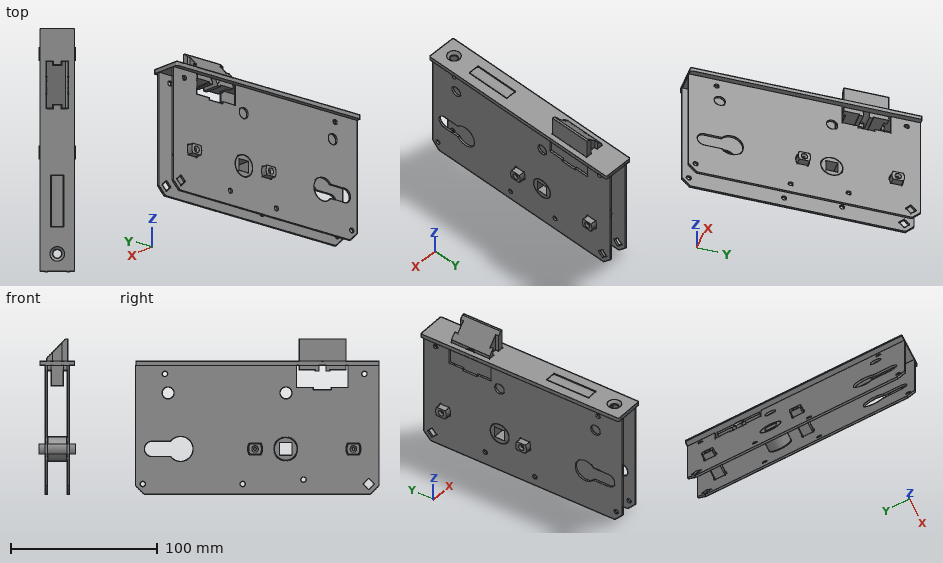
import cadquery as cq
import math

case_length = 166.0
total_height = 106.0
case_half_width = 8.3
plate_thickness = 1.5
inner_half_width = case_half_width - plate_thickness

face_width = 23.7
face_thickness = 3.0
face_bottom = 88.0
face_top = face_bottom + face_thickness
face_setback = 0.3
face_corner_radius = 1.0
screw_y = -70.7
screw_diameter = 6.0
screw_head_diameter = 10.0

corner_chamfer = 6.0
axis_z = 31.0
rivet_holes = [(73.0, 82.2), (-62.9, 82.2), (31.5, 10.1), (-10.0, 7.1), (-78.0, 7.1)]
rivet_diameter = 3.5
guide_holes = [(19.6, 69.2), (-60.8, 69.2)]
guide_diameter = 8.0
diamond_y = 76.0
diamond_z = 7.1
diamond_side = 5.5
cylinder_y = -52.3
cylinder_diameter = 17.0
cylinder_tail_y = -71.7
cylinder_tail_width = 10.3

latch_y = 44.5
latch_length = 32.0
latch_half_width = 7.3
latch_bottom = 85.0
latch_nose_z = 92.8
latch_tip_width = 1.7
latch_notch_width = 6.5
latch_notch_depth = 2.5
latch_foot_length = 10.0
latch_foot_bottom = 84.0
pivot_z = 88.3
pivot_diameter = 4.5
pivot_sink_diameter = 7.5
latch_side_gap = 0.5
bolt_end_gap = 0.2

opening_length = 35.0
opening_bottom = 73.0
opening_step_length = 12.0
opening_step_bottom = 71.5
opening_y = 44.3

dead_y = -34.7
dead_length = 34.9
dead_width = 8.5
dead_bottom = 74.0
dead_ridge_width = 1.5
dead_edge_drop = 0.7
dead_bulge = 0.2
dead_side_gap = 0.2

hub_y = 19.5
hub_diameter = 17.0
hub_half_width = 6.3
hub_journal_diameter = 15.5
hub_bore_diameter = 16.0
hub_square = 8.5

post_places = [65.5, -1.5]
post_overhang = 0.63
post_half_length = face_width / 2 + post_overhang
post_width = 9.0
post_end_radius = 7.5
post_height = 7.0
post_clearance = 0.5
post_hole_diameter = 1.7
post_hole_mouth = 4.5


def box(x0, x1, y0, y1, z0, z1):
    """Axis-aligned block between the given limits."""
    return cq.Workplane("XY").box(x1 - x0, y1 - y0, z1 - z0, centered=False).translate((x0, y0, z0))


def rod(y, z, diameter, x0, x1):
    """Round bar along X."""
    return cq.Workplane("YZ", origin=(x0, y, z)).circle(diameter / 2).extrude(x1 - x0)


def post_bar(y, gap, half_length):
    """Bar along X with flat faces above and below and bulging ends, grown outward by a gap."""
    half_width = post_width / 2 + gap
    half_height = post_height / 2 + gap
    end_radius = post_end_radius + gap
    bulge = end_radius - math.sqrt(end_radius**2 - half_height**2)
    corner = half_width - bulge
    return (
        cq.Workplane("YZ", origin=(-half_length, y, axis_z))
        .moveTo(-corner, -half_height)
        .lineTo(corner, -half_height)
        .threePointArc((half_width, 0), (corner, half_height))
        .lineTo(-corner, half_height)
        .threePointArc((-half_width, 0), (-corner, -half_height))
        .close()
        .extrude(2 * half_length)
    )


def cone(mouth_diameter, inner_diameter, start, direction):
    """90 degree countersink that narrows from its mouth along the given direction."""
    depth = (mouth_diameter - inner_diameter) / 2
    return cq.Workplane(
        cq.Solid.makeCone(mouth_diameter / 2, inner_diameter / 2, depth, cq.Vector(*start), cq.Vector(*direction))
    )


def latch_plan(side_gap, end_gap):
    """Notched plan of the latch bolt over the full height, grown along X and along Y by the gaps."""
    half_length = latch_length / 2 + end_gap
    half_width = latch_half_width + side_gap
    plan = box(-half_width, half_width, latch_y - half_length, latch_y + half_length, 0, total_height)
    notch_half_width = latch_notch_width / 2 - side_gap
    for side in (-1, 1):
        notch = cq.Workplane("XY").box(
            2 * notch_half_width, 2 * latch_notch_depth, total_height, centered=(True, True, False)
        )
        plan = plan.cut(notch.translate((0, latch_y + side * half_length, 0)))
    return plan


def make_faceplate():
    half = case_length / 2
    plate = box(-face_width / 2, face_width / 2, face_setback - half, half, face_bottom, face_top)
    plate = plate.edges("|Z").fillet(face_corner_radius)
    plate = plate.cut(latch_plan(latch_side_gap, bolt_end_gap))
    slot_half = dead_width / 2 + dead_side_gap
    dead_half = dead_length / 2 + bolt_end_gap
    plate = plate.cut(
        box(-slot_half, slot_half, dead_y - dead_half, dead_y + dead_half, face_bottom, face_top)
    )
    screw_hole = cq.Workplane("XY", origin=(0, screw_y, face_bottom)).circle(screw_diameter / 2)
    plate = plate.cut(screw_hole.extrude(face_thickness))
    return plate.cut(cone(screw_head_diameter, screw_diameter, (0, screw_y, face_top), (0, 0, -1)))


def make_side_plates():
    """Both side plates, cut together so that every opening passes through the pair."""
    half = case_length / 2
    reach = case_half_width
    plates = (
        box(-reach, reach, -half, half, 0, face_bottom)
        .edges("|X and <Z")
        .chamfer(corner_chamfer)
        .cut(box(-inner_half_width, inner_half_width, -half, half, 0, face_bottom))
    )

    for y, z in rivet_holes:
        plates = plates.cut(rod(y, z, rivet_diameter, -reach, reach))
    for y, z in guide_holes:
        plates = plates.cut(rod(y, z, guide_diameter, -reach, reach))

    diamond = cq.Workplane("YZ", origin=(-reach, diamond_y, diamond_z)).transformed(rotate=(0, 0, 45))
    plates = plates.cut(diamond.rect(diamond_side, diamond_side).extrude(2 * reach))

    for length, bottom in ((opening_length, opening_bottom), (opening_step_length, opening_step_bottom)):
        plates = plates.cut(
            box(-reach, reach, opening_y - length / 2, opening_y + length / 2, bottom, face_bottom)
        )

    tail_half = cylinder_tail_width / 2
    plates = plates.cut(rod(cylinder_y, axis_z, cylinder_diameter, -reach, reach))
    plates = plates.cut(rod(cylinder_tail_y, axis_z, cylinder_tail_width, -reach, reach))
    plates = plates.cut(
        box(-reach, reach, cylinder_tail_y, cylinder_y, axis_z - tail_half, axis_z + tail_half)
    )

    plates = plates.cut(rod(hub_y, axis_z, hub_bore_diameter, -reach, reach))
    for y in post_places:
        plates = plates.cut(post_bar(y, post_clearance, reach))
    return plates.solids()


def make_latch_bolt():
    half_length = latch_length / 2
    slope_end_x = latch_half_width - latch_tip_width
    profile = (
        cq.Workplane("XZ", origin=(0, latch_y + half_length, 0))
        .polyline([
            (-latch_half_width, latch_bottom),
            (latch_half_width, latch_bottom),
            (latch_half_width, total_height),
            (slope_end_x, total_height),
            (-latch_half_width, latch_nose_z),
        ])
        .close()
        .extrude(latch_length)
    )
    bolt = profile.intersect(latch_plan(0, 0))
    foot_half = latch_foot_length / 2
    bolt = bolt.union(
        box(
            -latch_half_width, latch_half_width, latch_y - foot_half, latch_y + foot_half,
            latch_foot_bottom, latch_bottom,
        )
    )
    pivot_half = pivot_diameter / 2
    bolt = bolt.cut(rod(latch_y, pivot_z, pivot_diameter, -latch_half_width, latch_half_width))
    bolt = bolt.cut(
        box(
            -latch_half_width, latch_half_width, latch_y - pivot_half, latch_y + pivot_half,
            latch_foot_bottom, pivot_z,
        )
    )
    sink_start = (-latch_half_width, latch_y, pivot_z)
    return bolt.cut(cone(pivot_sink_diameter, pivot_diameter, sink_start, (1, 0, 0)))


def make_dead_bolt():
    """Block whose top falls away in a shallow curve on both sides of a flat ridge."""
    half = dead_width / 2
    ridge = dead_ridge_width / 2
    shoulder_x = (half + ridge) / 2
    edge_z = face_top - dead_edge_drop
    shoulder_z = (face_top + edge_z) / 2 + dead_bulge
    return (
        cq.Workplane("XZ", origin=(0, dead_y + dead_length / 2, 0))
        .moveTo(-half, dead_bottom)
        .lineTo(half, dead_bottom)
        .lineTo(half, edge_z)
        .threePointArc((shoulder_x, shoulder_z), (ridge, face_top))
        .lineTo(-ridge, face_top)
        .threePointArc((-shoulder_x, shoulder_z), (-half, edge_z))
        .close()
        .extrude(dead_length)
    )


def make_hub():
    reach = case_half_width
    square_half = hub_square / 2
    return (
        rod(hub_y, axis_z, hub_diameter, -hub_half_width, hub_half_width)
        .union(rod(hub_y, axis_z, hub_journal_diameter, -reach, reach))
        .cut(
            box(
                -reach, reach, hub_y - square_half, hub_y + square_half,
                axis_z - square_half, axis_z + square_half,
            )
        )
    )


def make_post(y):
    post = post_bar(y, 0, post_half_length)
    post = post.cut(rod(y, axis_z, post_hole_diameter, -post_half_length, post_half_length))
    for side in (-1, 1):
        mouth = (side * post_half_length, y, axis_z)
        post = post.cut(cone(post_hole_mouth, post_hole_diameter, mouth, (-side, 0, 0)))
    return post


faceplate = make_faceplate()
side_plates = make_side_plates()
latch_bolt = make_latch_bolt()
dead_bolt = make_dead_bolt()
hub = make_hub()
posts = [make_post(y).val() for y in post_places]

result = cq.Compound.makeCompound([
    faceplate.val(),
    *side_plates.vals(),
    latch_bolt.val(),
    dead_bolt.val(),
    hub.val(),
    *posts,
])